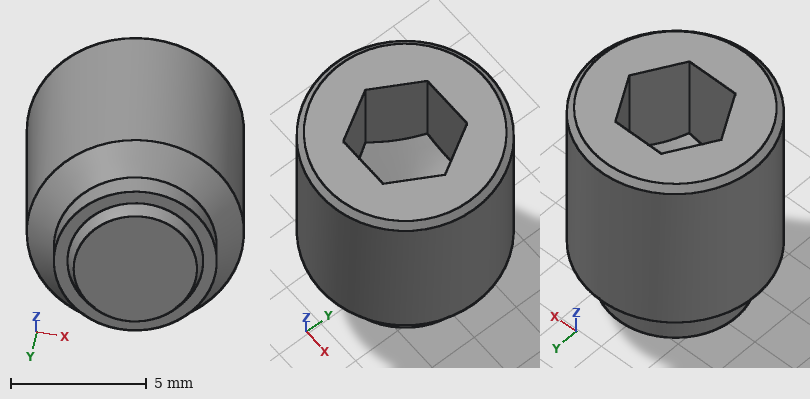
import cadquery as cq
import math

total_height = 10.0
body_radius = 4.0
neck_radius = 3.0
neck_length = 1.0
ball_protrusion = 0.55
top_chamfer = 0.27

ball_radius = 2.6
ball_flat_radius = 2.27

hex_across_flats = 4.0
hex_depth = 4.0
drill_point_angle = 120.0

neck_top_z = ball_protrusion + neck_length
shoulder_top_z = neck_top_z + body_radius - neck_radius
ball_center_z = math.sqrt(ball_radius**2 - ball_flat_radius**2)
hex_corner_radius = hex_across_flats / math.sqrt(3)
hex_floor_z = total_height - hex_depth
drill_point_depth = hex_corner_radius / math.tan(math.radians(drill_point_angle / 2))


def make_ball_sphere():
    """Full sphere at the ball's place, shared by the ball and its socket."""
    return cq.Workplane("XY").sphere(ball_radius).translate((0, 0, ball_center_z))


def make_hex_socket():
    """Hexagonal key socket that ends in a conical drill point."""
    bore_profile = [
        (0, total_height),
        (hex_corner_radius, total_height),
        (hex_corner_radius, hex_floor_z),
        (0, hex_floor_z - drill_point_depth),
    ]
    bore = cq.Workplane("XZ").polyline(bore_profile).close().revolve(360, (0, 0), (0, 1))
    hex_prism = (
        cq.Workplane("XY")
        .workplane(offset=hex_floor_z - drill_point_depth)
        .polygon(6, 2 * hex_corner_radius)
        .extrude(hex_depth + drill_point_depth)
    )
    return hex_prism.intersect(bore)


def make_screw():
    """Turned screw body with a key socket on top and a ball socket below."""
    outline = [
        (0, ball_protrusion),
        (neck_radius, ball_protrusion),
        (neck_radius, neck_top_z),
        (body_radius, shoulder_top_z),
        (body_radius, total_height - top_chamfer),
        (body_radius - top_chamfer, total_height),
        (0, total_height),
    ]
    blank = cq.Workplane("XZ").polyline(outline).close().revolve(360, (0, 0), (0, 1))
    return blank.cut(make_hex_socket()).cut(make_ball_sphere())


def make_ball():
    """Swivel ball cut off to a flat contact face at Z = 0."""
    ball_width = 2 * ball_radius
    upper_space = cq.Workplane("XY").rect(ball_width, ball_width).extrude(ball_center_z + ball_radius)
    return make_ball_sphere().intersect(upper_space)


screw = make_screw()
ball = make_ball()

result = cq.Compound.makeCompound([screw.solids().val(), ball.solids().val()])